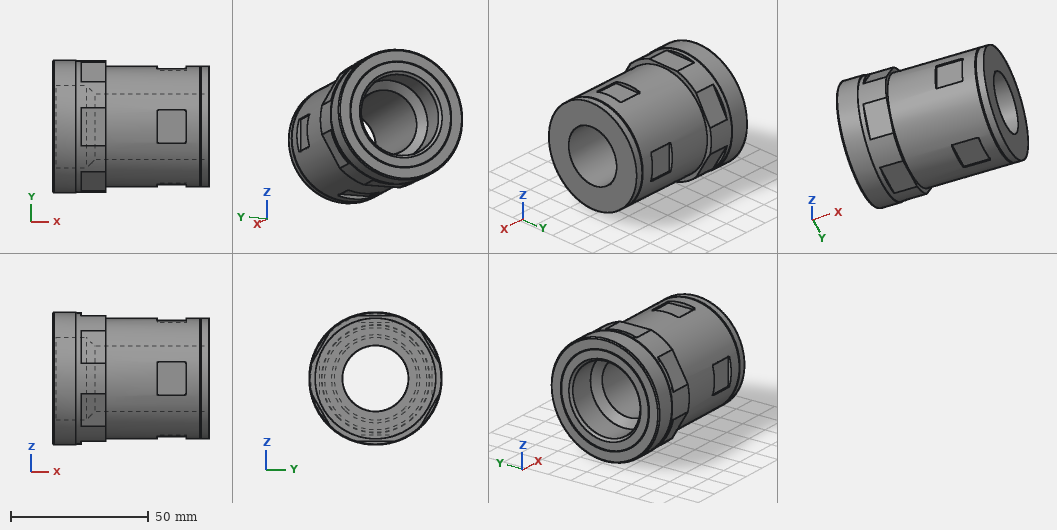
import cadquery as cq
import math

LENGTH = 57.0
COLLAR_END = 8.45
HEX_START = 10.3
HEX_END = 19.4
POCKET_START = 38.0
POCKET_END = 48.55
GROOVE_START = 53.65
GROOVE_END = 54.1

COLLAR_DIAMETER = 48.5
HEX_RING_DIAMETER = 48.0
BARREL_DIAMETER = 44.0
GROOVE_DIAMETER = 37.3
COLLAR_CHAMFER = 0.5

FLAT_COUNT = 6
ACROSS_FLATS = 45.95

POCKET_COUNT = 4
POCKET_WIDTH = 12.1
POCKET_FLOOR_RADIUS = 20.6
POCKET_CORNER_RADIUS = 0.55

ENTRY_DIAMETER = 30.15
ENTRY_CHAMFER = 1.0
HOLE_DIAMETER = 24.0
CONE_START = 12.15
CONE_LENGTH = (ENTRY_DIAMETER - HOLE_DIAMETER) / 2

FACE_GROOVE_OUTER = 39.55
FACE_GROOVE_INNER = 39.1
FACE_GROOVE_DEPTH = 0.2


def cylinder(diameter, start, end):
    """Solid cylinder about the X axis between two axial positions."""
    disc = cq.Workplane("YZ", origin=(start, 0, 0)).circle(diameter / 2)
    return disc.extrude(end - start)


def ring(outer, inner, start, end):
    return cylinder(outer, start, end).cut(cylinder(inner, start, end))


def make_body():
    collar = cylinder(COLLAR_DIAMETER, 0, COLLAR_END)
    collar = collar.faces("<X").chamfer(COLLAR_CHAMFER)
    hex_ring = cylinder(HEX_RING_DIAMETER, COLLAR_END, HEX_END)
    barrel = cylinder(BARREL_DIAMETER, HEX_END, LENGTH)
    return collar.union(hex_ring).union(barrel)


def cut_wrench_flats(body):
    """Flats facing +Z and every 60 degrees round, open towards the barrel."""
    corner_diameter = ACROSS_FLATS / math.cos(math.pi / FLAT_COUNT)
    hexagon = cq.Workplane("YZ", origin=(HEX_START, 0, 0)).polygon(FLAT_COUNT, corner_diameter)
    hexagon = hexagon.extrude(HEX_END - HEX_START)
    waste = cylinder(COLLAR_DIAMETER, HEX_START, HEX_END).cut(hexagon)
    return body.cut(waste)


def cut_pockets(body):
    """Flat-floored pockets facing +Z, +Y, -Z and -Y."""
    pocket_length = POCKET_END - POCKET_START
    pocket_middle = (POCKET_START + POCKET_END) / 2
    pocket = (
        cq.Workplane("XY", origin=(pocket_middle, 0, POCKET_FLOOR_RADIUS))
        .rect(pocket_length, POCKET_WIDTH)
        .extrude(BARREL_DIAMETER / 2)
        .edges("|Z")
        .fillet(POCKET_CORNER_RADIUS)
    )
    for index in range(POCKET_COUNT):
        angle = index * 360 / POCKET_COUNT
        body = body.cut(pocket.rotate((0, 0, 0), (1, 0, 0), angle))
    return body


def make_bore():
    entry_radius = ENTRY_DIAMETER / 2
    hole_radius = HOLE_DIAMETER / 2
    return (
        cq.Workplane("XY")
        .lineTo(0, entry_radius + ENTRY_CHAMFER)
        .lineTo(ENTRY_CHAMFER, entry_radius)
        .lineTo(CONE_START, entry_radius)
        .lineTo(CONE_START + CONE_LENGTH, hole_radius)
        .lineTo(LENGTH, hole_radius)
        .lineTo(LENGTH, 0)
        .close()
        .revolve(360, (0, 0, 0), (1, 0, 0))
    )


body = make_body()
body = cut_wrench_flats(body)
body = cut_pockets(body)
body = body.cut(ring(BARREL_DIAMETER, GROOVE_DIAMETER, GROOVE_START, GROOVE_END))
body = body.cut(ring(FACE_GROOVE_OUTER, FACE_GROOVE_INNER, 0, FACE_GROOVE_DEPTH))
result = body.cut(make_bore())